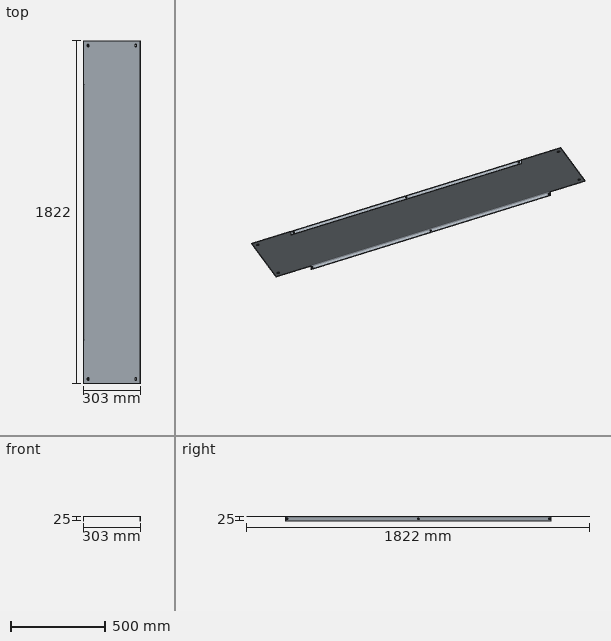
import cadquery as cq
import math

length = 1822.0
width = 303.0
thickness = 1.0
corner_slot_spacing_x = 253.0
corner_slot_spacing_y = 1773.0
corner_slot_width = 7.1
corner_slot_length = 13.0

height = 25.0
left_flange_length = 1358.0
right_flange_length = 1412.0
bend_radius = 2.0

hole_diameter = 7.1
hole_depth = 13.0
left_end_hole_y = 663.0
right_end_hole_y = 698.0


def flat_plate():
    """Full-length sheet, without the strips along its edges that hold the bends."""
    return (
        cq.Workplane("XY")
        .box(width - 2 * bend_radius, length, thickness)
        .translate((0, 0, -thickness / 2))
    )


def edge_strips(side, flange_length):
    """Flat edge strips beyond both ends of the flange on one side."""
    strip_length = (length - flange_length) / 2
    strip_x = side * (width - bend_radius) / 2
    strip_y = (length - strip_length) / 2
    return (
        cq.Workplane("XY")
        .pushPoints([(strip_x, -strip_y), (strip_x, strip_y)])
        .rect(bend_radius, strip_length)
        .extrude(-thickness)
    )


def flange(side, flange_length, end_hole_y):
    """Bend and hanging flange on one side, pierced by its three holes."""
    outer_x = side * width / 2
    inner_x = outer_x - side * thickness
    bend_x = outer_x - side * bend_radius
    inner_radius = bend_radius - thickness
    diagonal = math.sqrt(0.5)
    outer_middle = (bend_x + side * bend_radius * diagonal, -bend_radius * (1 - diagonal))
    inner_middle = (bend_x + side * inner_radius * diagonal, -bend_radius + inner_radius * diagonal)
    body = (
        cq.Workplane("XZ")
        .moveTo(bend_x, 0)
        .threePointArc(outer_middle, (outer_x, -bend_radius))
        .lineTo(outer_x, -height)
        .lineTo(inner_x, -height)
        .lineTo(inner_x, -bend_radius)
        .threePointArc(inner_middle, (bend_x, -thickness))
        .close()
        .extrude(flange_length / 2, both=True)
    )
    holes = (
        cq.Workplane("YZ", origin=(outer_x, 0, 0))
        .pushPoints([(y, -hole_depth) for y in (-end_hole_y, 0, end_hole_y)])
        .circle(hole_diameter / 2)
        .extrude(2 * thickness, both=True)
    )
    return body.cut(holes)


def corner_slots():
    """Slots lengthwise through the plate, one near each corner."""
    return (
        cq.Workplane("XY")
        .rect(corner_slot_spacing_x, corner_slot_spacing_y, forConstruction=True)
        .vertices()
        .slot2D(corner_slot_length, corner_slot_width, angle=90)
        .extrude(-thickness)
    )


result = flat_plate()
for side, flange_length, end_hole_y in (
    (-1, left_flange_length, left_end_hole_y),
    (1, right_flange_length, right_end_hole_y),
):
    result = result.union(edge_strips(side, flange_length))
    result = result.union(flange(side, flange_length, end_hole_y))
result = result.cut(corner_slots()).clean()